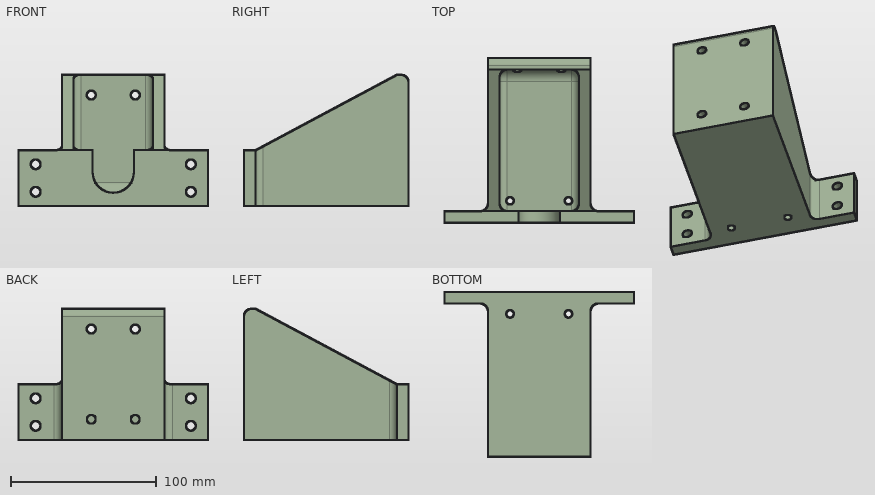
import cadquery as cq

plate_width = 130.0
depth = 113.0
height = 90.0

plate_height = 38.2
wall = 8.0

box_width = 70.5
corner_radius = 5.2
pocket_back_radius = 8.0

slot_width = 28.2
slot_bottom = 9.1

plate_hole_diameter = 6.5
plate_hole_x = 53.2
plate_hole_heights = (9.8, 28.6)
back_hole_diameter = 6.0
back_hole_x = 15.1
back_hole_heights = (14.2, 76.0)
floor_hole_diameter = 5.0
floor_hole_x = 20.0
floor_hole_y = 15.1

back_wall_y = depth - wall
pocket_width = box_width - 2 * wall


def centred_box(width, y_start, y_end, z_start, z_end):
    """Box centred on X between the given Y and Z limits."""
    block = cq.Workplane("XY").box(width, y_end - y_start, z_end - z_start, centered=(True, False, False))
    return block.translate((0, y_start, z_start))


def make_body():
    """Plate and box joined by vertical fillets, with the sloping top edge."""
    plate = centred_box(plate_width, 0, wall, 0, height)
    box = centred_box(box_width, 0, depth, 0, height)
    joint_edges = cq.selectors.BoxSelector(
        (-box_width / 2 - 1.3, wall - 1.3, 0), (box_width / 2 + 1.3, wall + 1.3, height)
    )
    blank = plate.union(box).edges("|Z").edges(joint_edges).fillet(corner_radius)

    profile = (
        cq.Workplane("YZ")
        .lineTo(depth, 0)
        .lineTo(depth, height - corner_radius)
        .radiusArc((depth - corner_radius, height), -corner_radius)
        .lineTo(back_wall_y, height)
        .lineTo(wall, plate_height)
        .lineTo(0, plate_height)
        .close()
        .extrude(plate_width / 2, both=True)
    )
    return blank.intersect(profile)


def make_pocket():
    """Cavity with a rounded floor-to-back edge and rounded edges along both side walls."""
    pocket = centred_box(pocket_width, wall, back_wall_y, wall, 2 * height)
    pocket = pocket.edges("|X and >Y and <Z").fillet(pocket_back_radius)
    return pocket.faces("<X or >X").edges("not >Z").fillet(corner_radius)


def make_slot():
    """Round-bottomed slot, open at the top of the plate."""
    radius = slot_width / 2
    centre_z = slot_bottom + radius
    return (
        cq.Workplane("XZ")
        .moveTo(-radius, plate_height)
        .lineTo(-radius, centre_z)
        .threePointArc((0, slot_bottom), (radius, centre_z))
        .lineTo(radius, plate_height)
        .close()
        .extrude(-wall)
    )


def plate_hole(x, z):
    """Cutter for a hole through the plate."""
    return cq.Workplane("XZ", origin=(x, 0, z)).circle(plate_hole_diameter / 2).extrude(-wall)


def back_hole(x, z):
    """Cutter for a hole through the back wall; the lower ones also cross the floor-to-back fillet."""
    outline = cq.Workplane("XZ", origin=(x, depth, z)).circle(back_hole_diameter / 2)
    return outline.extrude(wall + pocket_back_radius)


def floor_hole(x):
    """Cutter for a vertical hole through the floor and the fillet beside it."""
    hole = cq.Workplane("XY").circle(floor_hole_diameter / 2).extrude(wall + corner_radius)
    return hole.translate((x, floor_hole_y, 0))


result = make_body().cut(make_pocket()).cut(make_slot())
for side in (-1, 1):
    for hole_z in plate_hole_heights:
        result = result.cut(plate_hole(side * plate_hole_x, hole_z))
    for hole_z in back_hole_heights:
        result = result.cut(back_hole(side * back_hole_x, hole_z))
    result = result.cut(floor_hole(side * floor_hole_x))